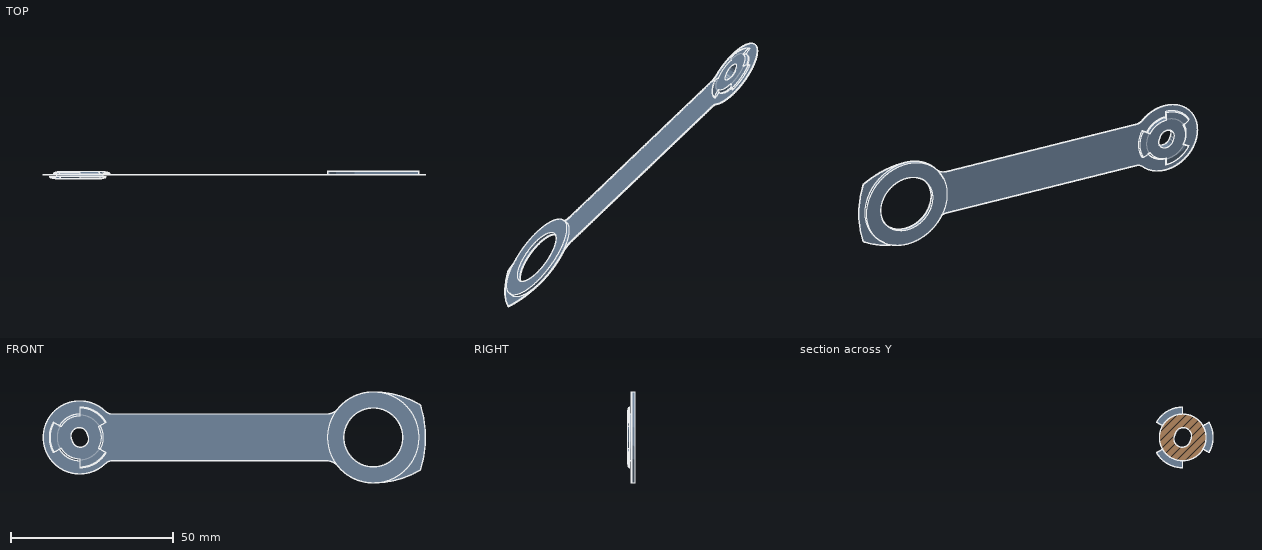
import cadquery as cq
import math


strap_front = -0.1
strap_thickness = 0.3
strap_back = strap_front + strap_thickness
strap_half_width = 7.2
hub_end_radius = 11.25
hub_end_fillet = 3.0

head_x = 90.0
head_radius = 14.0
head_fillet = 4.5
head_hole_radius = 9.0
tip_x = head_x + 16.05
tip_corner_x = head_x + 14.5
tip_corner_z = 10.0

ring_thickness = 1.0

hub_front = -1.2
hub_back = 1.05
hub_middle = (hub_front + hub_back) / 2
hub_half_depth = (hub_back - hub_front) / 2
groove_half_depth = 0.42
neck_radius = 7.2
face_radius = 6.6
tab_root_radius = 6.0
dome_start_radius = 6.9
tab_edge_radius = 9.05
tab_base_radius = 9.35
dome_drop = 0.3
tab_span = 60.0
tabs_per_side = 3
tab_pitch = 360.0 / tabs_per_side
front_tab_start = 30.0
back_tab_start = front_tab_start + tab_pitch / 2

bore_length = 6.0
bore_width = 5.0
bore_tilt = 110.0


def arc_radius(chord, drop):
    """Radius of an arc that starts along the chord axis and falls by drop over the chord."""
    return (chord**2 + drop**2) / (2 * drop)


def extrude_along_y(outline, start, end):
    """Extrude a closed XZ outline from y = start to y = end."""
    return outline.extrude(start - end).translate((0, start, 0))


def cylinder_along_y(x, radius, start, end):
    outline = cq.Workplane("XZ").center(x, 0).circle(radius)
    return extrude_along_y(outline, start, end)


def fillet_points(round_radius, fillet):
    """Tangent points of a fillet between a round end and the strap edge.

    Returns distances from the round's centre: the point on the round (along, up),
    the middle of the fillet (along, up), and how far along the straight edge begins.
    """
    centre_up = strap_half_width + fillet
    centre_along = math.sqrt((round_radius + fillet) ** 2 - centre_up**2)
    share = round_radius / (round_radius + fillet)
    on_round = (centre_along * share, centre_up * share)
    toward_round = math.atan2(-centre_up, -centre_along)
    middle_angle = (toward_round - math.pi / 2) / 2
    middle = (
        centre_along + fillet * math.cos(middle_angle),
        centre_up + fillet * math.sin(middle_angle),
    )
    return on_round, middle, centre_along


def head_side_middle():
    """Middle of the flat arc from the widest point of the head to the upper tip corner."""
    run = tip_corner_x - head_x
    radius = arc_radius(run, head_radius - tip_corner_z)
    half_angle = math.asin(run / radius) / 2
    return head_x + radius * math.sin(half_angle), head_radius - radius * (1 - math.cos(half_angle))


def strap_outline():
    hub_round, hub_middle_point, hub_edge = fillet_points(hub_end_radius, hub_end_fillet)
    head_round, head_middle_point, head_edge = fillet_points(head_radius, head_fillet)
    head_round_angle = math.atan2(head_round[1], head_round[0])
    shoulder_angle = (head_round_angle + math.pi / 2) / 2
    shoulder = (
        head_x - head_radius * math.cos(shoulder_angle),
        head_radius * math.sin(shoulder_angle),
    )
    side = head_side_middle()
    head_fillet_middle = (head_x - head_middle_point[0], head_middle_point[1])
    head_fillet_end = (head_x - head_round[0], head_round[1])

    def below(point):
        return point[0], -point[1]

    return (
        cq.Workplane("XZ")
        .moveTo(*below(hub_round))
        .threePointArc((-hub_end_radius, 0), hub_round)
        .threePointArc(hub_middle_point, (hub_edge, strap_half_width))
        .lineTo(head_x - head_edge, strap_half_width)
        .threePointArc(head_fillet_middle, head_fillet_end)
        .threePointArc(shoulder, (head_x, head_radius))
        .threePointArc(side, (tip_corner_x, tip_corner_z))
        .threePointArc((tip_x, 0), (tip_corner_x, -tip_corner_z))
        .threePointArc(below(side), (head_x, -head_radius))
        .threePointArc(below(shoulder), below(head_fillet_end))
        .threePointArc(below(head_fillet_middle), (head_x - head_edge, -strap_half_width))
        .lineTo(hub_edge, -strap_half_width)
        .threePointArc(below(hub_middle_point), below(hub_round))
        .close()
    )


def make_strap():
    plate = extrude_along_y(strap_outline(), strap_front, strap_back)
    hub_hole = cylinder_along_y(0, neck_radius, strap_front, strap_back)
    head_hole = cylinder_along_y(head_x, head_hole_radius, strap_front, strap_back)
    return plate.cut(hub_hole).cut(head_hole)


def make_backing_ring():
    ring_back = strap_back + ring_thickness
    disc = cylinder_along_y(head_x, head_radius, strap_back, ring_back)
    return disc.cut(cylinder_along_y(head_x, head_hole_radius, strap_back, ring_back))


def make_hub_disc():
    """Disc that tapers from the groove toward both faces."""
    return (
        cq.Workplane("XY")
        .moveTo(0, hub_front)
        .lineTo(face_radius, hub_front)
        .lineTo(neck_radius, hub_middle - groove_half_depth)
        .lineTo(neck_radius, hub_middle + groove_half_depth)
        .lineTo(face_radius, hub_back)
        .lineTo(0, hub_back)
        .close()
        .revolve(360, (0, 0), (0, 1))
    )


def make_tab(side, start_angle):
    """Domed tab; side is -1 on the front and 1 on the back, start_angle is measured from +X to +Z."""
    base_y = hub_middle + side * groove_half_depth
    face_y = hub_middle + side * hub_half_depth
    chord = tab_edge_radius - dome_start_radius
    radius = arc_radius(chord, dome_drop)
    half_angle = math.asin(chord / radius) / 2
    dome_middle = (
        dome_start_radius + radius * math.sin(half_angle),
        face_y - side * radius * (1 - math.cos(half_angle)),
    )
    return (
        cq.Workplane("XY")
        .moveTo(tab_root_radius, base_y)
        .lineTo(tab_base_radius, base_y)
        .lineTo(tab_edge_radius, face_y - side * dome_drop)
        .threePointArc(dome_middle, (dome_start_radius, face_y))
        .lineTo(tab_root_radius, face_y)
        .close()
        .revolve(tab_span, (0, 0), (0, -1))
        .rotate((0, 0, 0), (0, -1, 0), start_angle)
    )


def make_bore():
    outline = cq.Workplane("XZ").slot2D(bore_length, bore_width, bore_tilt)
    return extrude_along_y(outline, hub_front, hub_back)


def make_hub():
    hub = make_hub_disc()
    for index in range(tabs_per_side):
        turn = index * tab_pitch
        hub = hub.union(make_tab(-1, front_tab_start + turn))
        hub = hub.union(make_tab(1, back_tab_start + turn))
    return hub.cut(make_bore())


strap = make_strap()
backing_ring = make_backing_ring()
hub = make_hub()

result = cq.Compound.makeCompound([strap.val(), backing_ring.val(), hub.val()])